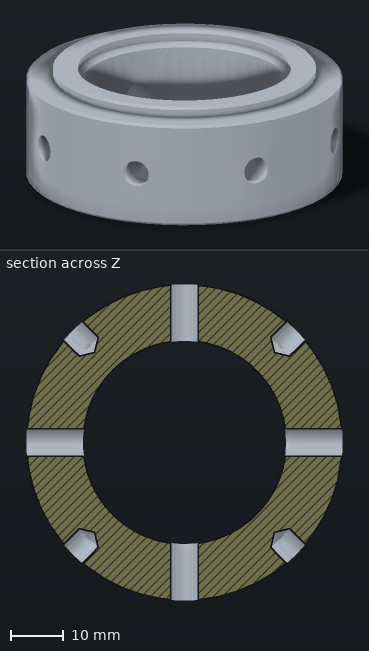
import cadquery as cq
import math

outer_diameter = 60.0
total_height = 22.0
collar_diameter = 50.0
collar_height = 2.0
body_height = total_height - collar_height
edge_chamfer = 0.5

bore_diameter = 38.5
recess_diameter = 40.5
recess_depth = 2.0
mouth_radius = recess_diameter / 2 + edge_chamfer
bottom_bevel = mouth_radius - bore_diameter / 2

through_diameter = 5.1
blind_diameter = 5.0
hole_pairs = 4
hole_height = body_height / 2
blind_depth = 4.3
drill_point_angle = 118.0


def make_body():
    """Chamfered ring with a narrower collar on top."""
    body = (
        cq.Workplane("XY")
        .circle(outer_diameter / 2)
        .extrude(body_height)
        .edges()
        .chamfer(edge_chamfer)
    )
    collar = (
        cq.Workplane("XY")
        .circle(collar_diameter / 2)
        .extrude(total_height)
        .faces(">Z")
        .edges()
        .chamfer(edge_chamfer)
    )
    return body.union(collar)


def cut_bore(part):
    """Bore with a bevelled bottom mouth and a recess at the top ending in a 45 degree ledge."""
    bore_radius = bore_diameter / 2
    recess_radius = recess_diameter / 2
    recess_floor = total_height - recess_depth
    ledge_bottom = recess_floor - (recess_radius - bore_radius)
    bore = (
        cq.Workplane("XZ")
        .moveTo(0, 0)
        .lineTo(mouth_radius, 0)
        .lineTo(bore_radius, bottom_bevel)
        .lineTo(bore_radius, ledge_bottom)
        .lineTo(recess_radius, recess_floor)
        .lineTo(recess_radius, total_height - edge_chamfer)
        .lineTo(mouth_radius, total_height)
        .lineTo(0, total_height)
        .close()
        .revolve(360, (0, 0, 0), (0, 1, 0))
    )
    return part.cut(bore)


def through_hole():
    """Cylinder along +X from the ring axis out to the rim."""
    return (
        cq.Workplane("YZ", origin=(0, 0, hole_height))
        .circle(through_diameter / 2)
        .extrude(outer_diameter / 2)
    )


def blind_hole():
    """Drilled hole along +X that ends in a conical point inside the wall."""
    hole_radius = blind_diameter / 2
    rim = outer_diameter / 2
    cone_start = rim - blind_depth
    tip = cone_start - hole_radius / math.tan(math.radians(drill_point_angle / 2))
    return (
        cq.Workplane("XZ", origin=(0, 0, hole_height))
        .moveTo(tip, 0)
        .lineTo(cone_start, hole_radius)
        .lineTo(rim, hole_radius)
        .lineTo(rim, 0)
        .close()
        .revolve(360, (0, 0, 0), (1, 0, 0))
    )


def cut_radial_holes(part):
    """Through holes on the X and Y axes, with blind holes halfway between them."""
    spacing = 360 / hole_pairs
    for index in range(hole_pairs):
        angle = index * spacing
        part = part.cut(through_hole().rotate((0, 0, 0), (0, 0, 1), angle))
        part = part.cut(blind_hole().rotate((0, 0, 0), (0, 0, 1), angle + spacing / 2))
    return part


result = cut_radial_holes(cut_bore(make_body()))